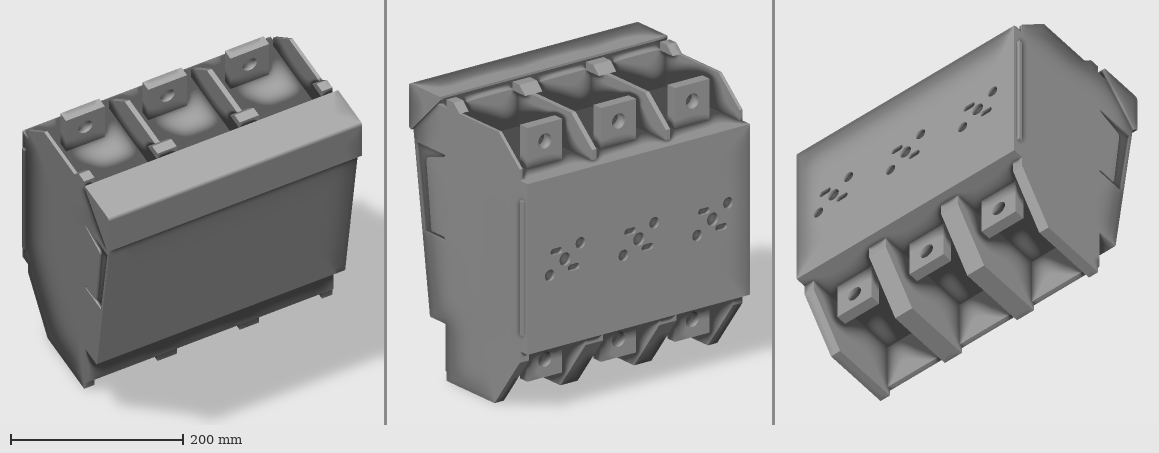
import cadquery as cq


depth = 223.0
width = 332.0
height = 351.0

pole_count = 3
pole_pitch = 107.8
body_width = 325.5
body_depth = 157.2
block_bottom = 79.0
block_top = 291.0
front_wall_bottom = 11.5
front_wall_thickness = 6.3
pole_centers = [(i - (pole_count - 1) / 2) * pole_pitch for i in range(pole_count)]
partition_centers = [(i - pole_count / 2) * pole_pitch for i in range(pole_count + 1)]

partition_back = 14.7
partition_front = 154.8
partition_top = 339.0
upper_partition_thickness = 6.3
lower_partition_thickness = 25.3
upper_chamfer_end = 54.8
upper_chamfer_start = 304.5
lower_chamfer_end = 63.2
lower_chamfer_start = 64.5
lug_start = 130.2
lug_slope_end = 141.5
lug_top = 349.5

terminal_back = 39.0
terminal_thickness = 14.0
terminal_width = 51.0
terminal_bottom = 27.0
terminal_top = 342.2
terminal_hole_diameter = 19.0
terminal_hole_inset = 22.0

mount_z = 185.5
mount_depth = 5.0
center_hole_diameter = 16.0
side_hole_diameter = 14.0
side_hole_offset = (22.5, 15.0)
slot_length = 17.0
slot_height = 8.0
slot_offset = (12.5, 12.5)

rail_back = 5.3
rail_thickness = 5.0
rail_bottom = 101.5
rail_top = 268.0

door_bottom = 70.2
door_bottom_front = 186.7
door_corner_radius = 2.0
cover_back = 163.0
cover_lip = 4.2
cover_roof_thickness = 2.8
cover_radius = 4.2
cover_low_front = 296.2
cover_low_inner = (218.3, 293.8)
gap_front = 217.5
gap_slope_top = 343.5
gap_slope_front = 218.5

recess_depth = 3.5
recess_top = 279.7
recess_bottom = 173.5
recess_top_front = 213.0
recess_bottom_front = 197.0
pad_back = 159.7
pad_bottom = 177.5
pad_bottom_front = 184.0
pad_top_front = 194.0
pad_top_front_z = 266.0
pad_top = 276.2
pad_foot = 1.5
pad_top_radius = 5.3
pad_bottom_radius = 1.8


def box(x_range, y_range, z_range):
    """Axis-aligned box from its limits along each axis."""
    sizes = [high - low for low, high in (x_range, y_range, z_range)]
    corner = (x_range[0], y_range[0], z_range[0])
    return cq.Workplane("XY").box(*sizes, centered=False).translate(corner)


def centered(size, middle=0.0):
    """Limits of a span of the given size about its middle."""
    return (middle - size / 2, middle + size / 2)


def side_plate(points, thickness, y_middle=0.0):
    """Side outline (x, z) extruded across Y about y_middle."""
    plate = cq.Workplane("XZ").polyline(points).close().extrude(thickness / 2, both=True)
    return plate.translate((0, y_middle, 0))


def make_body():
    block = box((0, body_depth), centered(body_width), (block_bottom, block_top))
    front_wall = box(
        (body_depth - front_wall_thickness, body_depth),
        centered(body_width),
        (front_wall_bottom, block_bottom),
    )
    return block.union(front_wall)


def make_partitions():
    upper = [
        (partition_back, block_top),
        (partition_back, upper_chamfer_start),
        (upper_chamfer_end, partition_top),
        (body_depth, partition_top),
        (body_depth, block_top),
    ]
    lug = [
        (lug_start, partition_top),
        (lug_slope_end, lug_top),
        (partition_front, lug_top),
        (partition_front, partition_top),
    ]
    lower = [
        (partition_back, block_bottom),
        (partition_back, lower_chamfer_start),
        (lower_chamfer_end, 0),
        (partition_front, 0),
        (partition_front, block_bottom),
    ]
    partitions = cq.Workplane("XY")
    for y in partition_centers:
        partitions = partitions.union(side_plate(upper, upper_partition_thickness, y))
        partitions = partitions.union(side_plate(lug, lower_partition_thickness, y))
        partitions = partitions.union(side_plate(lower, lower_partition_thickness, y))
    return partitions.intersect(box((0, depth), centered(body_width), (0, height)))


def make_terminal(y):
    plate = box(
        (terminal_back, terminal_back + terminal_thickness),
        centered(terminal_width, y),
        (terminal_bottom, terminal_top),
    )
    hole_heights = (terminal_bottom + terminal_hole_inset, terminal_top - terminal_hole_inset)
    holes = (
        cq.Workplane("YZ", origin=(terminal_back, 0, 0))
        .pushPoints([(y, z) for z in hole_heights])
        .circle(terminal_hole_diameter / 2)
        .extrude(terminal_thickness)
    )
    return plate.cut(holes)


def make_mounting_holes(y):
    back = cq.Workplane("YZ", origin=(0, y, mount_z))
    hole_y, hole_z = side_hole_offset
    slot_y, slot_z = slot_offset
    center_hole = back.circle(center_hole_diameter / 2).extrude(mount_depth)
    side_holes = (
        back.pushPoints([(-hole_y, hole_z), (hole_y, -hole_z)])
        .circle(side_hole_diameter / 2)
        .extrude(mount_depth)
    )
    slots = (
        back.pushPoints([(slot_y, slot_z), (-slot_y, -slot_z)])
        .slot2D(slot_length, slot_height)
        .extrude(mount_depth)
    )
    return center_hole.union(side_holes).union(slots)


def make_door():
    slope_x, slope_z = cover_low_inner
    lip_bottom = height - cover_lip
    drop_share = (lip_bottom - partition_top) / (lip_bottom - slope_z)
    door_top_front = cover_back + drop_share * (slope_x - cover_back)
    outline = [
        (body_depth, door_bottom),
        (door_bottom_front, door_bottom),
        cover_low_inner,
        (door_top_front, partition_top),
        (body_depth, partition_top),
    ]
    door = side_plate(outline, body_width)
    bottom_corner = cq.selectors.NearestToPointSelector((door_bottom_front, 0, door_bottom))
    return door.edges(bottom_corner).fillet(door_corner_radius)


def make_cover():
    outline = [
        (cover_back, height),
        (depth, height),
        (depth, cover_low_front),
        cover_low_inner,
        (cover_back, height - cover_lip),
    ]
    cover = side_plate(outline, width)
    top_corner = cq.selectors.NearestToPointSelector((depth, 0, height))
    cover = cover.edges(top_corner).fillet(cover_radius)
    gap = [
        (cover_back, height - cover_roof_thickness),
        (gap_front, height - cover_roof_thickness),
        (gap_front, gap_slope_top),
        (gap_slope_front, partition_top),
        (cover_back, partition_top),
    ]
    return cover.cut(side_plate(gap, body_width))


def make_grip_recess(side):
    """Recess and the pad left standing in it, on the -Y (-1) or +Y (+1) side."""
    y_middle = side * (body_width - recess_depth) / 2
    recess = [
        (body_depth, recess_bottom),
        (recess_bottom_front, recess_bottom),
        (recess_top_front, recess_top),
        (body_depth, recess_top),
    ]
    pad_low_corner = (pad_bottom_front, pad_bottom)
    pad_high_corner = (pad_top_front, pad_top_front_z)
    pad = [
        (body_depth, recess_bottom + pad_foot),
        (pad_back, pad_bottom),
        pad_low_corner,
        pad_high_corner,
        (pad_back, pad_top),
        (body_depth, recess_top),
    ]
    pad_plate = side_plate(pad, recess_depth, y_middle)
    for (x, z), radius in ((pad_high_corner, pad_top_radius), (pad_low_corner, pad_bottom_radius)):
        corner = cq.selectors.NearestToPointSelector((x, y_middle, z))
        pad_plate = pad_plate.edges(corner).fillet(radius)
    return side_plate(recess, recess_depth, y_middle).cut(pad_plate)


body = make_body().union(make_partitions())
door = make_door()
for side in (-1, 1):
    door = door.cut(make_grip_recess(side))
rails = box(
    (rail_back, rail_back + rail_thickness), centered(width), (rail_bottom, rail_top)
)

result = body.union(door).union(make_cover()).union(rails)
for pole_y in pole_centers:
    result = result.union(make_terminal(pole_y))
    result = result.cut(make_mounting_holes(pole_y))